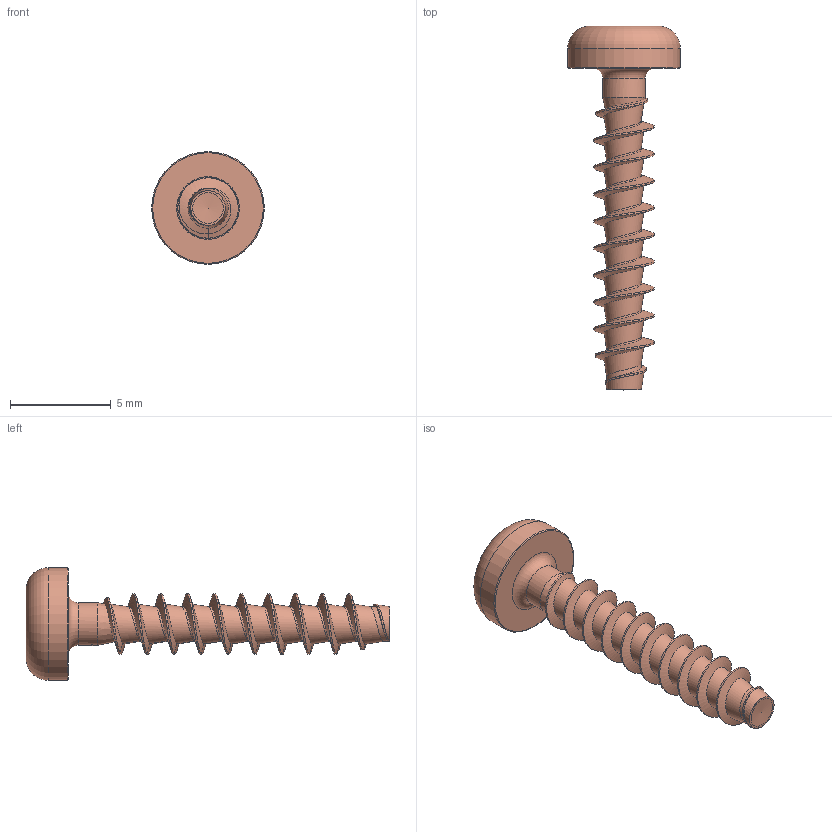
import cadquery as cq
import math


head_radius = 2.8
head_height = 2.1
dome_radius = 1.1
rim_fillet = 0.05

screw_length = 16.0
shank_radius = 1.06
shank_length = 1.45
neck_fillet = 0.5
shank_taper_length = 1.0

dimple_radius = 0.76
dimple_depth = 0.05

core_radius = 0.86
ramp_top_radius = 1.02
ramp_slope = 0.155
ramp_sink = 0.006

pitch = 1.34
thread_radius = 1.5
first_crest = 1.58
crest_width = 0.08
flank_angle = 15.0
run_in_start = -0.3
run_out_start = 9.4
run_out_per_turn = 0.6
least_thread_height = 0.02
buried_radius = 0.8
tip_turn = (screw_length - first_crest) / pitch

points_per_turn = 24


def helix_edge(corner, start_turn, end_turn):
    """Curve through corner(turn) = (radius, distance), right-handed along the axis."""
    points = []
    for step in range(points_per_turn + 1):
        turn = start_turn + (end_turn - start_turn) * step / points_per_turn
        radius, distance = corner(turn)
        angle = 2 * math.pi * turn
        points.append(cq.Vector(radius * math.cos(angle), -distance, radius * math.sin(angle)))
    return cq.Edge.makeSpline(points)


def helical_bar(corners, start_turn, end_turn):
    """Solid whose section has one corner on each helical curve, in pieces of about one turn."""
    piece_count = round(end_turn - start_turn)
    piece_turns = (end_turn - start_turn) / piece_count
    faces = []
    for piece in range(piece_count):
        piece_start = start_turn + piece * piece_turns
        edges = [helix_edge(corner, piece_start, piece_start + piece_turns) for corner in corners]
        for index, edge in enumerate(edges):
            faces.append(cq.Face.makeRuledSurface(edges[index - 1], edge))
        if piece == 0:
            start_cap = cq.Wire.makePolygon([edge.startPoint() for edge in edges], close=True)
    end_cap = cq.Wire.makePolygon([edge.endPoint() for edge in edges], close=True)
    faces += [cq.Face.makeFromWires(start_cap), cq.Face.makeFromWires(end_cap)]
    return cq.Workplane(cq.Solid.makeSolid(cq.Shell.makeShell(faces)).fix())


def crest_distance(turn):
    return first_crest + pitch * turn


def ramp_radius(turn):
    """Ramp radius under the crest; over the last turn it follows a cone down to the tip."""
    tip_cone_radius = core_radius + ramp_slope * (screw_length - crest_distance(turn))
    return min(ramp_top_radius, tip_cone_radius)


def crest_radius(turn):
    """Crest radius with a one-turn run-in and a run-out near the tip."""
    run_in = shank_radius + (thread_radius - shank_radius) * (turn - run_in_start)
    run_out = thread_radius - run_out_per_turn * (turn - run_out_start)
    return max(min(thread_radius, run_in, run_out), ramp_radius(turn) + least_thread_height)


def thread_half_width(turn, radius):
    depth = crest_radius(turn) - radius
    return crest_width / 2 + depth * math.tan(math.radians(flank_angle))


def thread_and_ramp():
    """Thread ridge together with the ramp on its tip side, as one helical bar."""

    def head_side_root(turn):
        return buried_radius, crest_distance(turn) - thread_half_width(turn, buried_radius)

    def head_side_crest(turn):
        return crest_radius(turn), crest_distance(turn) - crest_width / 2

    def tip_side_crest(turn):
        return crest_radius(turn), crest_distance(turn) + crest_width / 2

    def tip_side_root(turn):
        half_width = thread_half_width(turn, ramp_radius(turn))
        return ramp_radius(turn) - ramp_slope * half_width, crest_distance(turn) + half_width

    def ramp_end(turn):
        drop = ramp_radius(turn) - core_radius + ramp_sink
        return core_radius - ramp_sink, crest_distance(turn) + drop / ramp_slope

    corners = [head_side_root, head_side_crest, tip_side_crest, tip_side_root, ramp_end]
    return helical_bar(corners, run_in_start, tip_turn)


def body():
    """Head, neck fillet, shank and plain core as one revolved profile."""
    diagonal = math.sqrt(0.5)
    dome_center = (head_radius - dome_radius, head_height - dome_radius)
    dome_middle = (dome_center[0] + dome_radius * diagonal, dome_center[1] + dome_radius * diagonal)
    neck_radius = shank_radius + neck_fillet
    neck_middle = (neck_radius - neck_fillet * diagonal, -neck_fillet + neck_fillet * diagonal)
    rim_offset = rim_fillet * (1 - diagonal)
    return (
        cq.Workplane("XY")
        .moveTo(0, head_height)
        .lineTo(dome_center[0], head_height)
        .threePointArc(dome_middle, (head_radius, dome_center[1]))
        .lineTo(head_radius, rim_fillet)
        .threePointArc((head_radius - rim_offset, rim_offset), (head_radius - rim_fillet, 0))
        .lineTo(neck_radius, 0)
        .threePointArc(neck_middle, (shank_radius, -neck_fillet))
        .lineTo(shank_radius, -shank_length)
        .lineTo(core_radius, -shank_length - shank_taper_length)
        .lineTo(core_radius, -screw_length)
        .lineTo(dimple_radius, -screw_length)
        .lineTo(0, -screw_length + dimple_depth)
        .close()
        .revolve(360, (0, 0), (0, 1))
        .rotate((0, 0, 0), (0, 1, 0), 90)
    )


def beyond_tip():
    """Space past the tip plane, where the last ramp turns are trimmed off."""
    return cq.Workplane("XZ", origin=(0, -screw_length, 0)).circle(thread_radius).extrude(2 * pitch)


result = body().union(thread_and_ramp()).cut(beyond_tip())